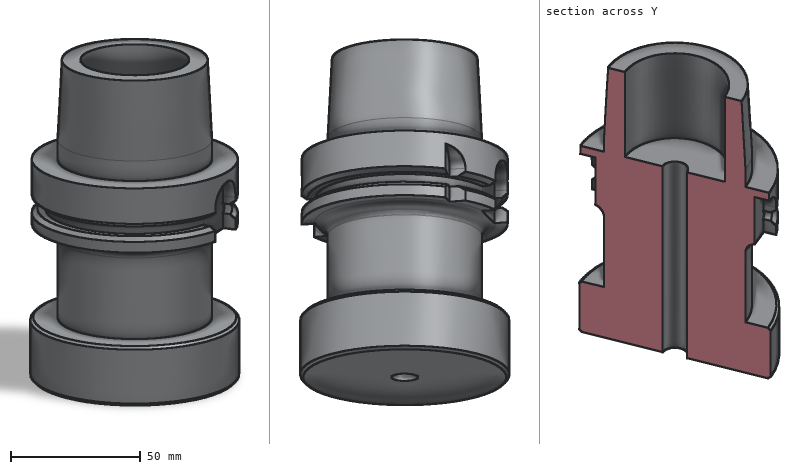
import cadquery as cq

total_height = 128.0
base_height = 24.0
flange_bottom = 62.0
flange_top = 88.0
taper_start = 96.0

base_diameter = 81.0
base_radius = base_diameter / 2
base_chamfer = 1.2
shank_radius = 30.0
taper_top_radius = 28.3
flange_radius = 40.0
neck_fillet = 5.1

groove_bottom = 68.0
groove_top = 72.0
groove_root_radius = 34.7
groove_lip_radius = 37.8
groove_lip_height = 1.7

bore_radius = 21.0
bore_depth = total_height - flange_top
through_hole_radius = 5.1

notch_radius = 9.0
notch_top = 84.0
drive_notch_floor = 33.7
side_notch_floor = 25.0
side_notch_inner_edge = 24.8


def turned_body():
    """Solid of revolution, drawn as a half profile of radius against height."""
    return (
        cq.Workplane("XZ")
        .lineTo(base_radius - base_chamfer, 0)
        .lineTo(base_radius, base_chamfer)
        .lineTo(base_radius, base_height - base_chamfer)
        .lineTo(base_radius - base_chamfer, base_height)
        .lineTo(shank_radius, base_height)
        .lineTo(shank_radius, flange_bottom - neck_fillet)
        .tangentArcPoint((shank_radius + neck_fillet, flange_bottom), relative=False)
        .lineTo(flange_radius, flange_bottom)
        .lineTo(flange_radius, groove_bottom - groove_lip_height)
        .lineTo(groove_lip_radius, groove_bottom)
        .lineTo(groove_root_radius, groove_bottom)
        .lineTo(groove_root_radius, groove_top)
        .lineTo(groove_lip_radius, groove_top)
        .lineTo(flange_radius, groove_top + groove_lip_height)
        .lineTo(flange_radius, flange_top)
        .lineTo(shank_radius, flange_top)
        .lineTo(shank_radius, taper_start)
        .lineTo(taper_top_radius, total_height)
        .lineTo(0, total_height)
        .close()
        .revolve(360, (0, 0, 0), (0, 1, 0))
    )


def notch_cutter(side, floor, center_y):
    """Round-topped slot along X, from its floor out past the flange.

    side is 1 for the +X side and -1 for the -X side.
    """
    arc_center_z = notch_top - notch_radius
    notch_bottom = flange_bottom - neck_fillet
    return (
        cq.Workplane("YZ", origin=(side * floor, 0, 0))
        .moveTo(center_y - notch_radius, notch_bottom)
        .lineTo(center_y - notch_radius, arc_center_z)
        .threePointArc((center_y, notch_top), (center_y + notch_radius, arc_center_z))
        .lineTo(center_y + notch_radius, notch_bottom)
        .close()
        .extrude(side * flange_radius)
    )


result = turned_body()

result = result.faces(">Z").workplane().circle(bore_radius).cutBlind(-bore_depth)
result = result.cut(cq.Workplane("XY").circle(through_hole_radius).extrude(total_height))

for side in (-1, 1):
    result = result.cut(notch_cutter(side, drive_notch_floor, 0))

side_notch_center = side_notch_inner_edge + notch_radius
result = result.cut(notch_cutter(-1, side_notch_floor, side_notch_center))